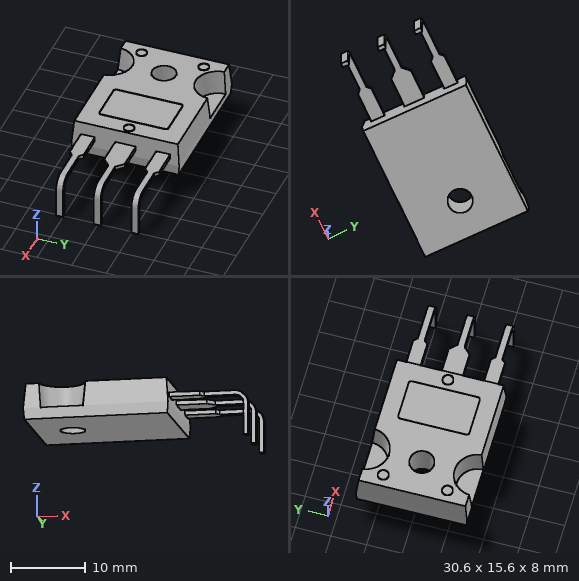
import cadquery as cq
import math

body_length = 19.98
body_width = 15.6
body_height = 5.0
parting_height = 1.53
draft_angle = 5.0
upper_height = body_height - parting_height

hole_x = 5.32
hole_diameter = 3.4
notch_floor_diameter = 5.8
notch_top_diameter = notch_floor_diameter + 2 * upper_height * math.tan(math.radians(draft_angle))

mark_depth = 0.1
ejector_diameter = 1.5
ejector_x = 2.02
ejector_y = 4.5
ejector_lead_side_x = 18.5
label_start_x = 11.02
label_length = 6.0
label_width = 9.98
label_corner_radius = 0.4

lead_thickness = 0.6
lead_top = 3.12
lead_tip = -3.0
lead_end_x = 30.6
lead_root_x = 18.35
lead_pitch = 5.45
lead_width = 1.0
shoulder_end_x = 24.08
outer_shoulder_width = 2.02
middle_shoulder_width = 2.97
bend_outer_radius = 1.8


def body_half(height):
    """Draft half of the body away from the parting plane; the sign gives the direction."""
    return (
        cq.Workplane("XY", origin=(body_length / 2, 0, parting_height))
        .rect(body_length, body_width)
        .extrude(height, taper=draft_angle)
    )


def clamp_notch(side):
    """Conical cutter centred on a long edge and resting on the parting plane."""
    return (
        cq.Workplane("XY", origin=(hole_x, side * body_width / 2, parting_height))
        .circle(notch_floor_diameter / 2)
        .workplane(offset=upper_height)
        .circle(notch_top_diameter / 2)
        .loft()
    )


def lead(center_y, shoulder_width):
    """Flat lead with 45 degree shoulders, bent down to its tip."""
    bend_start_x = lead_end_x - bend_outer_radius
    bend_center_z = lead_top - bend_outer_radius
    bend_inner_radius = bend_outer_radius - lead_thickness
    diagonal = math.sqrt(0.5)

    def bend_middle(radius):
        return (bend_start_x + radius * diagonal, bend_center_z + radius * diagonal)

    strip = (
        cq.Workplane("XZ", origin=(0, center_y, 0))
        .moveTo(lead_root_x, lead_top)
        .lineTo(bend_start_x, lead_top)
        .threePointArc(bend_middle(bend_outer_radius), (lead_end_x, bend_center_z))
        .lineTo(lead_end_x, lead_tip)
        .lineTo(lead_end_x - lead_thickness, lead_tip)
        .lineTo(lead_end_x - lead_thickness, bend_center_z)
        .threePointArc(bend_middle(bend_inner_radius), (bend_start_x, lead_top - lead_thickness))
        .lineTo(lead_root_x, lead_top - lead_thickness)
        .close()
        .extrude(lead_width / 2, both=True)
    )
    shoulder_end_narrow_x = shoulder_end_x + (shoulder_width - lead_width) / 2
    shoulder = (
        cq.Workplane("XY", origin=(0, center_y, lead_top - lead_thickness))
        .moveTo(lead_root_x, -shoulder_width / 2)
        .lineTo(shoulder_end_x, -shoulder_width / 2)
        .lineTo(shoulder_end_narrow_x, -lead_width / 2)
        .lineTo(shoulder_end_narrow_x, lead_width / 2)
        .lineTo(shoulder_end_x, shoulder_width / 2)
        .lineTo(lead_root_x, shoulder_width / 2)
        .close()
        .extrude(lead_thickness)
    )
    return strip.union(shoulder)


body = body_half(upper_height).union(body_half(-parting_height))
hole = cq.Workplane("XY", origin=(hole_x, 0, 0)).circle(hole_diameter / 2).extrude(body_height)
body = body.cut(hole)
for side in (-1, 1):
    body = body.cut(clamp_notch(side))

mark_floor = cq.Workplane("XY", origin=(0, 0, body_height - mark_depth))
ejector_marks = (
    mark_floor.pushPoints([(ejector_x, -ejector_y), (ejector_x, ejector_y), (ejector_lead_side_x, 0)])
    .circle(ejector_diameter / 2)
    .extrude(mark_depth)
)
label_recess = (
    mark_floor.center(label_start_x + label_length / 2, 0)
    .rect(label_length, label_width)
    .extrude(mark_depth)
    .edges("|Z")
    .fillet(label_corner_radius)
)
body = body.cut(ejector_marks).cut(label_recess)

result = body.union(lead(0, middle_shoulder_width))
for side in (-1, 1):
    result = result.union(lead(side * lead_pitch, outer_shoulder_width))